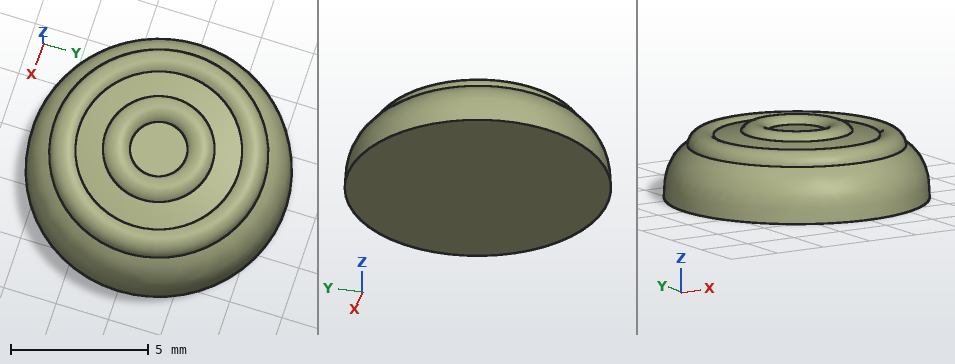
import cadquery as cq
import math

dome_radius = 4.85
crown_height = 2.57
crown_pull = 3.99
rim_pull = 1.89

tube_radius = 0.58
outer_ring_radius = 3.41
outer_ring_top = 2.46
inner_ring_radius = 1.54
total_height = 2.75

floor_radius = 1.05


def make_dome():
    """Solid dome; the two pulls are the lengths of the curve's end handles."""
    profile_controls = [
        (dome_radius, 0),
        (dome_radius, rim_pull),
        (crown_pull, crown_height),
        (0, crown_height),
    ]
    return (
        cq.Workplane("XZ")
        .lineTo(dome_radius, 0)
        .bezier(profile_controls)
        .close()
        .revolve(360, (0, 0, 0), (0, 1, 0))
    )


def make_ring(ring_radius, top_height):
    """Full torus around the Z axis whose highest circle is at top_height."""
    return (
        cq.Workplane("XZ")
        .center(ring_radius, top_height - tube_radius)
        .circle(tube_radius)
        .revolve(360, (-ring_radius, 0, 0), (-ring_radius, 1, 0))
    )


floor_offset = inner_ring_radius - floor_radius
floor_height = (
    total_height - tube_radius + math.sqrt(tube_radius**2 - floor_offset**2)
)
floor_cutter = (
    cq.Workplane("XY")
    .workplane(offset=floor_height)
    .circle(inner_ring_radius)
    .extrude(total_height - floor_height)
)

result = (
    make_dome()
    .cut(floor_cutter)
    .union(make_ring(outer_ring_radius, outer_ring_top))
    .union(make_ring(inner_ring_radius, total_height))
)